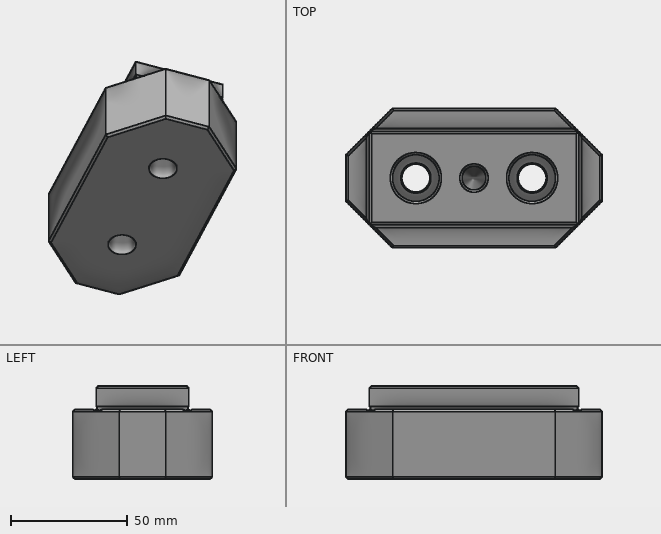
import cadquery as cq

base_length = 110.0
base_width = 60.0
base_height = 30.0
corner_cut = 20.0

total_height = 40.0
block_height = total_height - base_height
block_length = base_length - corner_cut
block_width = base_width - corner_cut

edge_chamfer = 1.0
seat_chamfer = 0.5

groove_radius = 1.0
groove_offset = 0.5

screw_spacing = 49.9
screw_diameter = 12.0
counterbore_diameter = 20.0
counterbore_depth = 20.0

centre_diameter = 10.2
centre_depth = 20.0
drill_point_height = 3.0


def chamfered_hole(x, top_z, diameter, depth, chamfer):
    """Downward hole cutter at (x, 0) with a 45 degree countersunk mouth."""
    radius = diameter / 2
    profile = (
        cq.Workplane("XZ")
        .moveTo(0, top_z)
        .lineTo(radius + chamfer, top_z)
        .lineTo(radius, top_z - chamfer)
        .lineTo(radius, top_z - depth)
        .lineTo(0, top_z - depth)
        .close()
    )
    return profile.revolve(360, (0, 0, 0), (0, 1, 0)).translate((x, 0, 0))


def make_body():
    base = (
        cq.Workplane("XY")
        .rect(base_length, base_width)
        .extrude(base_height)
        .edges("|Z")
        .chamfer(corner_cut)
        .faces("<Z or >Z")
        .edges()
        .chamfer(edge_chamfer)
    )
    block = (
        cq.Workplane("XY")
        .workplane(offset=base_height - edge_chamfer)
        .rect(block_length, block_width)
        .extrude(block_height + edge_chamfer)
        .faces(">Z")
        .edges()
        .chamfer(edge_chamfer)
    )
    return base.union(block)


def cut_relief_grooves(body):
    axis_z = base_height + groove_offset
    for side in (-1, 1):
        y = side * (block_width / 2 + groove_offset)
        x = side * (block_length / 2 + groove_offset)
        along_x = (
            cq.Workplane("YZ").center(y, axis_z).circle(groove_radius).extrude(base_length / 2, both=True)
        )
        along_y = (
            cq.Workplane("XZ").center(x, axis_z).circle(groove_radius).extrude(base_width / 2, both=True)
        )
        body = body.cut(along_x).cut(along_y)
    return body


def cut_screw_holes(body):
    seat_z = total_height - counterbore_depth
    for side in (-1, 1):
        x = side * screw_spacing / 2
        counterbore = chamfered_hole(x, total_height, counterbore_diameter, counterbore_depth, edge_chamfer)
        shank = chamfered_hole(x, seat_z, screw_diameter, seat_z, seat_chamfer)
        body = body.cut(counterbore).cut(shank)
    return body


def cut_centre_hole(body):
    hole = chamfered_hole(0, total_height, centre_diameter, centre_depth, edge_chamfer)
    point_base = cq.Vector(0, 0, total_height - centre_depth)
    point = cq.Solid.makeCone(centre_diameter / 2, 0, drill_point_height, point_base, cq.Vector(0, 0, -1))
    return body.cut(hole).cut(cq.Workplane(obj=point))


body = make_body()
body = cut_relief_grooves(body)
body = cut_screw_holes(body)
result = cut_centre_hole(body)